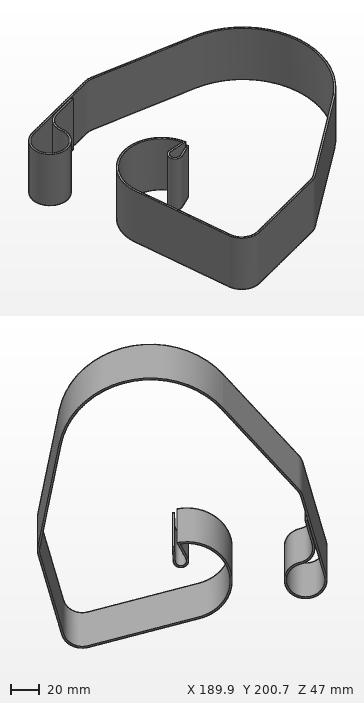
import cadquery as cq
import math

WIDTH = 189.9
LENGTH = 200.7
HEIGHT = 47.0
THICKNESS = 1.5

SIDE_RADIUS = 14.9
CROWN_RADIUS = 64.6
HOOK_RADIUS = 31.5
CLIP_RADIUS = 5.5

SIDE_BEND_Y = 80.5
HOOK_Y = 34.7
CLIP_Y = 51.4
CLIP_FREE_END_Y = 63.8
RETURN_END_Y = 61.2

RETURN_GAP = 0.5
CLIP_LEAN = 11.5
COINCIDENT = 0.002

LEFT, RIGHT = 1, -1

HALF_THICKNESS = THICKNESS / 2
SIDE_X = WIDTH / 2 - SIDE_RADIUS
BULB_RADIUS = CLIP_RADIUS - HALF_THICKNESS


def polar(center, radius, angle):
    """Point on a circle, with the angle in degrees."""
    a = math.radians(angle)
    return (center[0] + radius * math.cos(a), center[1] + radius * math.sin(a))


def face_arc(bend, side):
    """Start, middle and end of a bend on one face of the strip.

    A bend is (center, centreline radius, start angle, end angle of each face).
    Bends with rising angles turn left and falling angles turn right.
    """
    center, radius, start, ends = bend
    turn = math.copysign(1, ends[side] - start)
    face_radius = radius - turn * side * HALF_THICKNESS
    return [polar(center, face_radius, a) for a in (start, (start + ends[side]) / 2, ends[side])]


def strip(bends, start_y, end_length):
    """Strip through a series of bends joined by straights.

    It starts square to Y at start_y and ends a straight length past the last bend.
    """
    _, _, last_start, last_ends = bends[-1]
    last_turn = math.copysign(1, last_ends[LEFT] - last_start)
    faces = {}
    for side in (LEFT, RIGHT):
        arcs = [face_arc(bend, side) for bend in bends]
        begin = (arcs[0][0][0], start_y)
        finish = polar(arcs[-1][2], end_length, last_ends[side] + 90 * last_turn)
        faces[side] = [[begin]] + arcs + [[finish]]

    stretches = faces[LEFT] + [points[::-1] for points in reversed(faces[RIGHT])]
    here = stretches[0][0]
    outline = cq.Workplane("XY").moveTo(*here)
    for points in stretches[1:]:
        if math.dist(here, points[0]) > COINCIDENT:
            outline = outline.lineTo(*points[0])
        if len(points) > 1:
            outline = outline.threePointArc(*points[1:])
        here = points[-1]
    return outline.close().extrude(HEIGHT)


def tangent_normal(first, second):
    """Angle of the outward normal where a straight joins two clockwise bends."""
    (x1, y1), r1 = first
    (x2, y2), r2 = second
    direction = math.atan2(y2 - y1, x2 - x1)
    swing = math.asin((r1 - r2) / math.hypot(x2 - x1, y2 - y1))
    return math.degrees(direction - swing) + 90


def both(angle):
    """The same end angle for both faces."""
    return {LEFT: angle, RIGHT: angle}


def reverse_bend():
    """Bend that leads from the returned end down into the end loop."""
    wall_x = -WIDTH / 2 + THICKNESS + RETURN_GAP + HALF_THICKNESS
    radius = -SIDE_X - wall_x
    center_y = 2 * SIDE_RADIUS - HALF_THICKNESS + radius
    return ((-SIDE_X, center_y), radius, 180, both(270))


def hook_end(side):
    """Angle on the hook where one of its faces meets that face of the clip's left leg."""
    leg_normal = 180 - CLIP_LEAN
    bulb_rise = CLIP_Y - HOOK_Y
    leg_distance = BULB_RADIUS + bulb_rise * math.sin(math.radians(CLIP_LEAN))
    face_distance = leg_distance - side * HALF_THICKNESS
    face_radius = HOOK_RADIUS - HALF_THICKNESS + side * HALF_THICKNESS
    return leg_normal - math.degrees(math.acos(face_distance / face_radius))


def frame_bends():
    """Clockwise bends from the end loop round to the hook."""
    circles = [
        ((-SIDE_X, SIDE_RADIUS), SIDE_RADIUS),
        ((-SIDE_X, SIDE_BEND_Y), SIDE_RADIUS),
        ((0, LENGTH - CROWN_RADIUS), CROWN_RADIUS),
        ((SIDE_X, SIDE_BEND_Y), SIDE_RADIUS),
        ((SIDE_X, SIDE_RADIUS), SIDE_RADIUS),
        ((0, HOOK_Y), HOOK_RADIUS),
    ]
    normals = [tangent_normal(a, b) for a, b in zip(circles, circles[1:])]
    arrivals = [90] + normals
    departures = [both(normal) for normal in normals]
    departures.append({side: hook_end(side) for side in (LEFT, RIGHT)})

    bends = []
    for (center, radius), arrival, departure in zip(circles, arrivals, departures):
        ends = {side: arrival - (arrival - angle) % 360 for side, angle in departure.items()}
        bends.append((center, radius - HALF_THICKNESS, arrival, ends))
    return bends


def clip_bulb():
    """Round bottom of the small open clip, folded back inside the hook."""
    return ((0, CLIP_Y), BULB_RADIUS, 180 - CLIP_LEAN, both(360 + CLIP_LEAN))


lean = math.radians(CLIP_LEAN)
free_leg_length = (CLIP_FREE_END_Y - CLIP_Y - BULB_RADIUS * math.sin(lean)) / math.cos(lean)
result = strip([reverse_bend()] + frame_bends() + [clip_bulb()], RETURN_END_Y, free_leg_length)